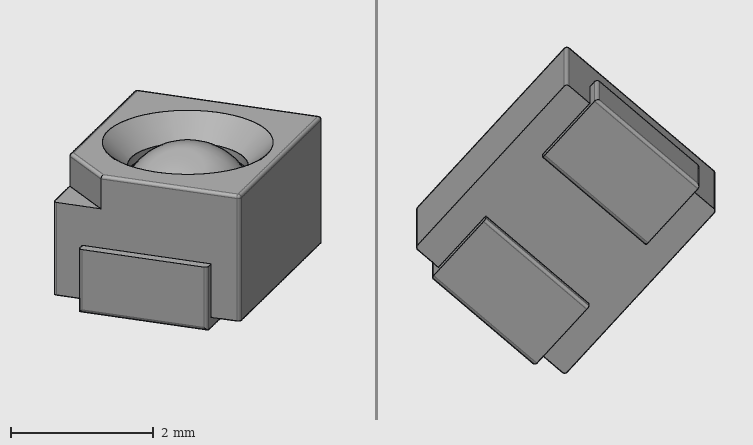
import cadquery as cq

body_x = 2.8
overall_y = 3.5
overall_z = 2.05
lead_thickness = 0.15
body_y = overall_y - 2 * lead_thickness
body_z = overall_z - lead_thickness
edge_radius = 0.05

notch_x = 0.715
notch_y = 0.637
notch_depth = 0.5

bowl_top_radius = 1.197
bowl_floor_radius = 0.847
bowl_depth = 0.35
lens_radius = 0.822
lens_height = 0.315
lens_groove_depth = 0.133

lead_width = 1.932
lead_height = 0.96
foot_length = 1.15


def make_body():
    """Moulded block with a notched corner and softened edges."""
    block = cq.Workplane("XY").box(body_x, body_y, body_z, centered=(True, True, False))
    block = block.translate((0, 0, lead_thickness)).edges("|Z").fillet(edge_radius)
    notch = (
        cq.Workplane("XY", origin=(-body_x / 2, -body_y / 2, overall_z - notch_depth))
        .polyline([(0, 0), (notch_x, 0), (0, notch_y)])
        .close()
        .extrude(notch_depth)
    )
    return block.cut(notch).faces(">Z").edges().fillet(edge_radius)


def make_bowl():
    """Conical recess with a straight-walled groove for the lens."""
    floor_z = overall_z - bowl_depth
    groove_z = floor_z - lens_groove_depth
    return (
        cq.Workplane("XZ")
        .moveTo(0, groove_z)
        .lineTo(bowl_floor_radius, groove_z)
        .lineTo(bowl_floor_radius, floor_z)
        .lineTo(bowl_top_radius, overall_z)
        .lineTo(0, overall_z)
        .close()
        .revolve(360, (0, 0), (0, 1))
    )


def make_lens():
    """Spherical cap rising from the groove floor."""
    base_z = overall_z - bowl_depth - lens_groove_depth
    rise = lens_groove_depth + lens_height
    peak_z = base_z + rise
    sphere_radius = (lens_radius**2 + rise**2) / (2 * rise)
    sphere = cq.Workplane("XY").sphere(sphere_radius).translate((0, 0, peak_z - sphere_radius))
    envelope = cq.Workplane("XY", origin=(0, 0, base_z)).circle(lens_radius).extrude(rise)
    return sphere.intersect(envelope)


def make_lead():
    """Lead on the -Y side: a foot under the body and an upright plate."""
    outer_y = -overall_y / 2
    foot = cq.Workplane("XY").box(lead_width, foot_length, lead_thickness, centered=(True, False, False))
    plate = cq.Workplane("XY").box(lead_width, lead_thickness, lead_height, centered=(True, False, False))
    foot = foot.edges("|X and <Z").fillet(edge_radius)
    plate = plate.edges("|X and <Z and <Y").fillet(edge_radius)
    envelope = cq.Workplane("XY").box(lead_width, foot_length, lead_height, centered=(True, False, False))
    envelope = envelope.edges("|Z and <Y").fillet(edge_radius)
    return foot.union(plate).intersect(envelope).translate((0, outer_y, 0))


lead = make_lead()
result = make_body().cut(make_bowl()).union(make_lens())
result = result.union(lead).union(lead.mirror("XZ"))